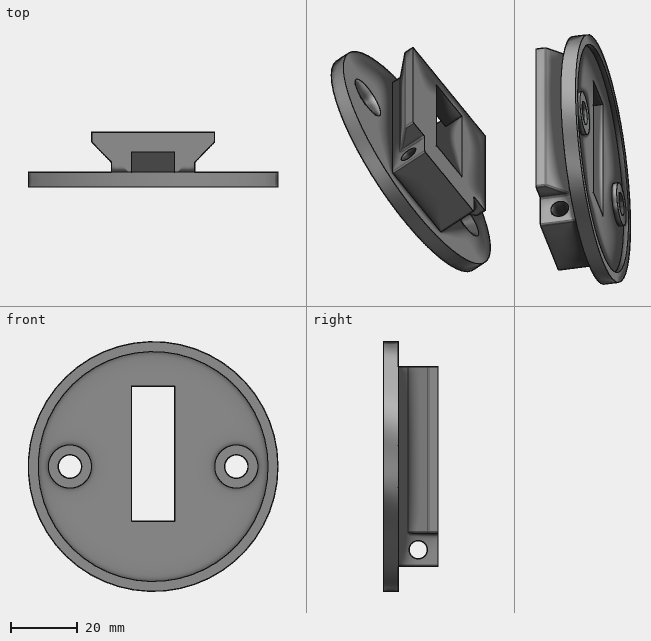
import cadquery as cq

plate_diameter = 75
plate_thickness = 4.5
recess_diameter = 69
recess_depth = 1.5

screw_spacing = 49.95
screw_hole_diameter = 7.0
collar_diameter = 13.0
countersink_diameter = 13.0
screw_seat_thickness = 1.7

total_depth = 16.5
block_half_height = 30
stem_width = 25.05
dovetail_width = 36.9
dovetail_bottom = -20.0
flare_start_y = 7.4
flare_end_y = 13.5
edge_radius = 0.5

slot_width = 12.9
slot_bottom = -16.35
slot_top = 24.1
notch_back_y = 10.5
pin_hole_diameter = 5.4
pin_hole_z = -25.0


def cylinder_along_y(diameter, start_y, length, x=0):
    plane = cq.Workplane("XZ", origin=(x, start_y, 0))
    return plane.circle(diameter / 2).extrude(-length)


def box_between(x_half, y_range, z_range):
    size = (2 * x_half, y_range[1] - y_range[0], z_range[1] - z_range[0])
    corner = (-x_half, y_range[0], z_range[0])
    return cq.Workplane("XY").box(*size, centered=False).translate(corner)


def countersink_at(x):
    """Cone that widens from the screw hole to the back face of the plate."""
    return cq.Workplane(
        cq.Solid.makeCone(
            screw_hole_diameter / 2,
            countersink_diameter / 2,
            plate_thickness - screw_seat_thickness,
            pnt=cq.Vector(x, screw_seat_thickness, 0),
            dir=cq.Vector(0, 1, 0),
        )
    )


def make_plate():
    plate = cylinder_along_y(plate_diameter, 0, plate_thickness)
    plate = plate.cut(cylinder_along_y(recess_diameter, 0, recess_depth))
    for x in (-screw_spacing / 2, screw_spacing / 2):
        plate = plate.union(cylinder_along_y(collar_diameter, 0, plate_thickness, x))
        plate = plate.cut(cylinder_along_y(screw_hole_diameter, 0, plate_thickness, x))
        plate = plate.cut(countersink_at(x))
    return plate


def make_block():
    stem_half = stem_width / 2
    dovetail_half = dovetail_width / 2
    stem = box_between(
        stem_half,
        (plate_thickness, total_depth),
        (-block_half_height, block_half_height),
    )
    dovetail = (
        cq.Workplane("XY", origin=(0, 0, dovetail_bottom))
        .moveTo(-stem_half, flare_start_y)
        .lineTo(-dovetail_half, flare_end_y)
        .lineTo(-dovetail_half, total_depth)
        .lineTo(dovetail_half, total_depth)
        .lineTo(dovetail_half, flare_end_y)
        .lineTo(stem_half, flare_start_y)
        .close()
        .extrude(block_half_height - dovetail_bottom)
    )
    block = stem.union(dovetail)
    return round_block_edges(block)


def round_block_edges(block):
    """Round the dovetail flanks, their roots on the stem and the lower stem edges."""
    margin = 0.1
    y_range = (flare_start_y - margin, total_depth - margin)
    z_range = (dovetail_bottom - margin, block_half_height - margin)
    x_inner = stem_width / 2 - margin
    x_outer = dovetail_width / 2 + margin
    right_flank = cq.selectors.BoxSelector(
        (x_inner, y_range[0], z_range[0]), (x_outer, y_range[1], z_range[1])
    )
    left_flank = cq.selectors.BoxSelector(
        (-x_outer, y_range[0], z_range[0]), (-x_inner, y_range[1], z_range[1])
    )
    block = block.edges(right_flank + left_flank).fillet(edge_radius)
    return block.faces("<Z").edges("|Y").fillet(edge_radius)


def cut_openings(part):
    slot_half = slot_width / 2
    slot = box_between(slot_half, (0, total_depth), (slot_bottom, slot_top))
    notch = box_between(slot_half, (plate_thickness, notch_back_y), (slot_top, block_half_height))
    pin_hole = (
        cq.Workplane("YZ", origin=(-stem_width / 2, notch_back_y, pin_hole_z))
        .circle(pin_hole_diameter / 2)
        .extrude(stem_width)
    )
    return part.cut(slot).cut(notch).cut(pin_hole)


result = cut_openings(make_plate().union(make_block()))